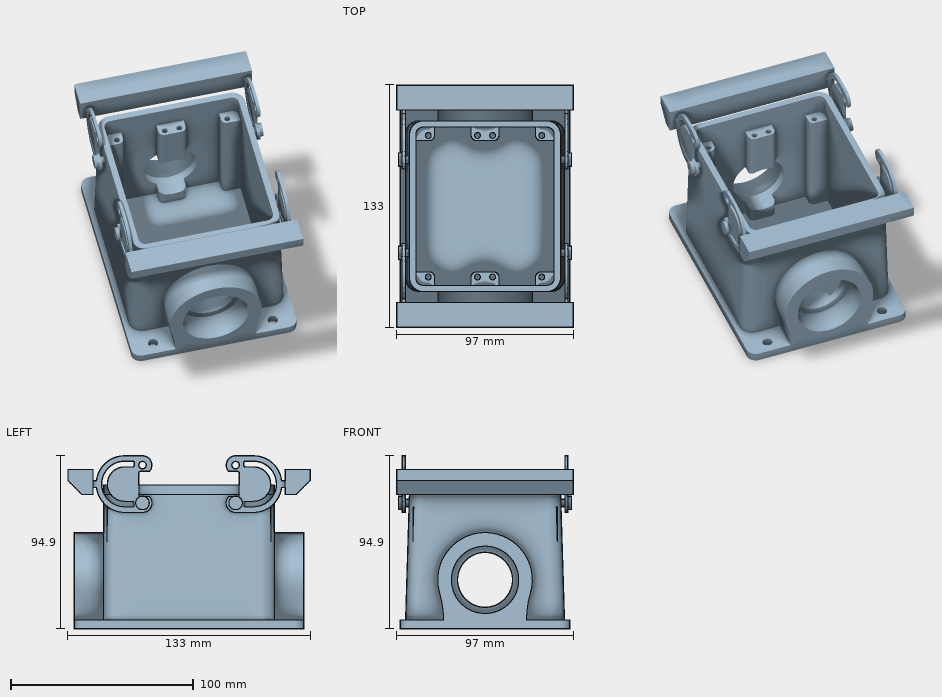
import cadquery as cq
import math

BASE_LENGTH = 126.1
BASE_WIDTH = 93.1
BASE_HEIGHT = 4.9
BASE_CORNER_RADIUS = 5.3
MOUNT_HOLE_DIAMETER = 5.6
MOUNT_HOLE_X = 33.8
MOUNT_HOLE_Y = 56.1

BOX_LENGTH = 93.6
BOX_WIDTH_BOTTOM = 87.2
BOX_WIDTH_TOP = 82.7
BOX_CORNER_RADIUS = 7.5
BOX_TOP_Z = 79.0
CAVITY_LENGTH = 86.7
CAVITY_WIDTH = 75.8
CAVITY_CORNER_RADIUS = 3.9
FRAME_HEIGHT = 5.5
FRAME_BOTTOM_Z = BOX_TOP_Z - FRAME_HEIGHT

ENTRY_Z = 26.9
ENTRY_OUTER_RADIUS = 26.0
ENTRY_COUNTERBORE_RADIUS = 18.5
ENTRY_BORE_RADIUS = 15.0
ENTRY_COUNTERBORE_DEPTH = 15.2
ENTRY_FOOT_HALF_WIDTH = 22.7

POST_TOP_Z = 66.8
POST_DEPTH = 7.3
POST_CORNER_RADIUS = 2.9
MIDDLE_POST_WIDTH = 15.3
CORNER_POST_INNER_X = 27.7
MIDDLE_SCREW_X = 4.1
CORNER_SCREW_X = 31.1
SCREW_Y = 38.8
SCREW_HOLE_DIAMETER = 3.2
SCREW_HOLE_DEPTH = 13.3

LEVER_Z = 79.4
CHEEK_INNER_X = 43.8
CHEEK_THICKNESS = 1.7
CHEEK_ARC_Y = 35.4
CHEEK_RADIUS = 15.5
SLOT_OUTER_RADIUS = 12.5
SLOT_INNER_RADIUS = 9.5
SLOT_END_Y = 30.0
SLOT_CORNER_RADIUS = 0.8
CHEEK_EDGE_Y = 27.5
HOOK_Y = 25.5
HOOK_RADIUS = 5.2
HOOK_OFFSET_Z = CHEEK_RADIUS - HOOK_RADIUS
HOOK_FLAT_DROP = 3.5
HOOK_CORNER_RADIUS = 1.0
HOOK_HOLE_DIAMETER = 4.0
NECK_HEIGHT = 3.9
HANDLE_WIDTH = 97.0
HANDLE_INNER_Y = 52.7
HANDLE_OUTER_Y = 66.5
HANDLE_BOTTOM_Z = FRAME_BOTTOM_Z
HANDLE_HEIGHT = 13.8
HANDLE_BEVEL = 7.8

PIN_SHANK_RADIUS = 2.1
PIN_HEAD_RADIUS = 3.7
PIN_HEAD_OUTER_X = 47.5
PIN_EMBED_X = 39.9
PIN_Z = LEVER_Z - HOOK_OFFSET_Z


def rounded_block(width, length, bottom_z, top_z, radius):
    """Upright block centred on the Z axis with rounded vertical edges."""
    return (
        cq.Workplane("XY").workplane(offset=bottom_z)
        .rect(width, length).extrude(top_z - bottom_z)
        .edges("|Z").fillet(radius)
    )


def drafted_box():
    """Solid outer form of the box: narrower in X toward the top, constant in Y."""
    return (
        cq.Workplane("XZ", origin=(0, BOX_LENGTH / 2, 0))
        .moveTo(-BOX_WIDTH_BOTTOM / 2, BASE_HEIGHT)
        .lineTo(BOX_WIDTH_BOTTOM / 2, BASE_HEIGHT)
        .lineTo(BOX_WIDTH_TOP / 2, BOX_TOP_Z)
        .lineTo(-BOX_WIDTH_TOP / 2, BOX_TOP_Z)
        .close().extrude(BOX_LENGTH)
        .faces("<X or >X").edges("not #Z").fillet(BOX_CORNER_RADIUS)
    )


def drafted_walls(bottom_z, top_z):
    """Wall ring of the box between two heights, open through the middle."""
    slab = (
        cq.Workplane("XY").workplane(offset=bottom_z)
        .rect(BASE_WIDTH, BASE_LENGTH).extrude(top_z - bottom_z)
    )
    cavity = rounded_block(CAVITY_WIDTH, CAVITY_LENGTH, bottom_z, top_z, CAVITY_CORNER_RADIUS)
    return drafted_box().intersect(slab).cut(cavity)


def base_flange():
    base = rounded_block(BASE_WIDTH, BASE_LENGTH, 0, BASE_HEIGHT, BASE_CORNER_RADIUS)
    return (
        base.faces(">Z").workplane(origin=(0, 0, BASE_HEIGHT))
        .rect(2 * MOUNT_HOLE_X, 2 * MOUNT_HOLE_Y, forConstruction=True)
        .vertices().hole(MOUNT_HOLE_DIAMETER)
    )


def entry_boss():
    """Front cable boss: a round top that sweeps into a foot on the base flange."""
    rise = ENTRY_Z - BASE_HEIGHT
    flare_radius = (
        (rise ** 2 + ENTRY_FOOT_HALF_WIDTH ** 2 - ENTRY_OUTER_RADIUS ** 2)
        / (2 * (ENTRY_OUTER_RADIUS - ENTRY_FOOT_HALF_WIDTH))
    )
    flare_x = ENTRY_FOOT_HALF_WIDTH + flare_radius
    join_angle = math.asin(rise / (ENTRY_OUTER_RADIUS + flare_radius))
    join_x = ENTRY_OUTER_RADIUS * math.cos(join_angle)
    join_z = ENTRY_Z - ENTRY_OUTER_RADIUS * math.sin(join_angle)
    middle_x = flare_x - flare_radius * math.cos(join_angle / 2)
    middle_z = BASE_HEIGHT + flare_radius * math.sin(join_angle / 2)
    boss_length = (BASE_LENGTH - CAVITY_LENGTH) / 2
    return (
        cq.Workplane("XZ", origin=(0, -CAVITY_LENGTH / 2, 0))
        .moveTo(-ENTRY_FOOT_HALF_WIDTH, BASE_HEIGHT)
        .threePointArc((-middle_x, middle_z), (-join_x, join_z))
        .threePointArc((0, ENTRY_Z + ENTRY_OUTER_RADIUS), (join_x, join_z))
        .threePointArc((middle_x, middle_z), (ENTRY_FOOT_HALF_WIDTH, BASE_HEIGHT))
        .close().extrude(boss_length)
    )


def entry_bores():
    """Bore through both ends of the box with a counterbore in each boss."""
    bores = (
        cq.Workplane("XZ", origin=(0, BASE_LENGTH / 2, ENTRY_Z))
        .circle(ENTRY_BORE_RADIUS).extrude(BASE_LENGTH)
    )
    counterbore = (
        cq.Workplane("XZ", origin=(0, ENTRY_COUNTERBORE_DEPTH - BASE_LENGTH / 2, ENTRY_Z))
        .circle(ENTRY_COUNTERBORE_RADIUS).extrude(ENTRY_COUNTERBORE_DEPTH)
    )
    return bores.union(counterbore).union(counterbore.mirror("XZ"))


def screw_post(left_x, right_x, rounded_edges):
    """Post on the front end wall, from the ground up, reaching into the wall behind it."""
    inner_y = POST_DEPTH - CAVITY_LENGTH / 2
    outer_y = -(CAVITY_LENGTH + BOX_LENGTH) / 4
    return (
        cq.Workplane("XY")
        .box(right_x - left_x, inner_y - outer_y, POST_TOP_Z, centered=False)
        .translate((left_x, outer_y, 0))
        .edges(rounded_edges).fillet(POST_CORNER_RADIUS)
    )


def screw_posts():
    wall_x = (CAVITY_WIDTH + BOX_WIDTH_TOP) / 4
    middle = screw_post(-MIDDLE_POST_WIDTH / 2, MIDDLE_POST_WIDTH / 2, "|Z and >Y")
    corner = screw_post(CORNER_POST_INNER_X, wall_x, "(|Z and >Y) and <X")
    row = middle.union(corner).union(corner.mirror("YZ"))
    posts = row.union(row.mirror("XZ"))
    screw_places = [
        (x, y)
        for x in (-CORNER_SCREW_X, -MIDDLE_SCREW_X, MIDDLE_SCREW_X, CORNER_SCREW_X)
        for y in (-SCREW_Y, SCREW_Y)
    ]
    holes = (
        cq.Workplane("XY").workplane(offset=POST_TOP_Z)
        .pushPoints(screw_places).circle(SCREW_HOLE_DIAMETER / 2).extrude(-SCREW_HOLE_DEPTH)
    )
    return posts.cut(holes)


def d_shape(radius, end_y):
    """D-shaped plate, rounded toward +Y and cut straight at end_y."""
    return (
        cq.Workplane("YZ", origin=(CHEEK_INNER_X, 0, LEVER_Z))
        .moveTo(end_y, -radius)
        .lineTo(CHEEK_ARC_Y, -radius)
        .threePointArc((CHEEK_ARC_Y + radius, 0), (CHEEK_ARC_Y, radius))
        .lineTo(end_y, radius)
        .close().extrude(CHEEK_THICKNESS)
    )


def cheek():
    """Lever side plate: a slotted D with a hook at the top and the bottom."""
    plane = cq.Workplane("YZ", origin=(CHEEK_INNER_X, 0, LEVER_Z))
    hook_centres = [(HOOK_Y, HOOK_OFFSET_Z), (HOOK_Y, -HOOK_OFFSET_Z)]
    hooks = plane.pushPoints(hook_centres).circle(HOOK_RADIUS).extrude(CHEEK_THICKNESS)
    edge_gap = (
        plane.rect(2 * CHEEK_EDGE_Y, 2 * (HOOK_OFFSET_Z - HOOK_FLAT_DROP)).extrude(CHEEK_THICKNESS)
        .edges("|X and >Y").fillet(HOOK_CORNER_RADIUS)
    )
    slot = (
        d_shape(SLOT_OUTER_RADIUS, SLOT_END_Y).cut(d_shape(SLOT_INNER_RADIUS, SLOT_END_Y))
        .edges("|X and <Y").fillet(SLOT_CORNER_RADIUS)
    )
    top_hole = (
        plane.center(HOOK_Y, HOOK_OFFSET_Z)
        .circle(HOOK_HOLE_DIAMETER / 2).extrude(CHEEK_THICKNESS)
    )
    neck_start_y = (SLOT_OUTER_RADIUS + CHEEK_RADIUS) / 2 + CHEEK_ARC_Y
    neck = (
        plane.center((neck_start_y + HANDLE_INNER_Y) / 2, 0)
        .rect(HANDLE_INNER_Y - neck_start_y, NECK_HEIGHT).extrude(CHEEK_THICKNESS)
    )
    body = d_shape(CHEEK_RADIUS, HOOK_Y).union(hooks)
    return body.cut(edge_gap).cut(slot).cut(top_hole).union(neck)


def pin():
    """Pin from the box wall through the lower hook, with a head outside."""
    shank = (
        cq.Workplane("YZ", origin=(PIN_EMBED_X, HOOK_Y, PIN_Z))
        .circle(PIN_SHANK_RADIUS).extrude(PIN_HEAD_OUTER_X - PIN_EMBED_X)
    )
    head_start_x = CHEEK_INNER_X + CHEEK_THICKNESS
    head = (
        cq.Workplane("YZ", origin=(head_start_x, HOOK_Y, PIN_Z))
        .circle(PIN_HEAD_RADIUS).extrude(PIN_HEAD_OUTER_X - head_start_x)
    )
    return shank.union(head)


def handle():
    """Bar across the lever with a bevel on its lower outer edge."""
    top_z = HANDLE_BOTTOM_Z + HANDLE_HEIGHT
    return (
        cq.Workplane("YZ", origin=(-HANDLE_WIDTH / 2, 0, 0))
        .moveTo(HANDLE_INNER_Y, HANDLE_BOTTOM_Z)
        .lineTo(HANDLE_OUTER_Y - HANDLE_BEVEL, HANDLE_BOTTOM_Z)
        .lineTo(HANDLE_OUTER_Y, HANDLE_BOTTOM_Z + HANDLE_BEVEL)
        .lineTo(HANDLE_OUTER_Y, top_z)
        .lineTo(HANDLE_INNER_Y, top_z)
        .close().extrude(HANDLE_WIDTH)
    )


def lever():
    """Lever at the +Y end with its cheeks and pins."""
    side = cheek().union(pin())
    return handle().union(side).union(side.mirror("YZ"))


def make_housing():
    """Box with its flange, bosses, posts and levers, as one solid."""
    front_boss = entry_boss()
    back_lever = lever()
    return (
        base_flange()
        .union(drafted_walls(BASE_HEIGHT, FRAME_BOTTOM_Z))
        .union(front_boss)
        .union(front_boss.mirror("XZ"))
        .union(screw_posts())
        .cut(entry_bores())
        .union(back_lever)
        .union(back_lever.mirror("XZ"))
    )


def make_rim_frame():
    """Ring that sits on the box and continues its walls to the top."""
    return drafted_walls(FRAME_BOTTOM_Z, BOX_TOP_Z)


housing = make_housing()
rim_frame = make_rim_frame()
result = cq.Compound.makeCompound([housing.val(), rim_frame.val()])